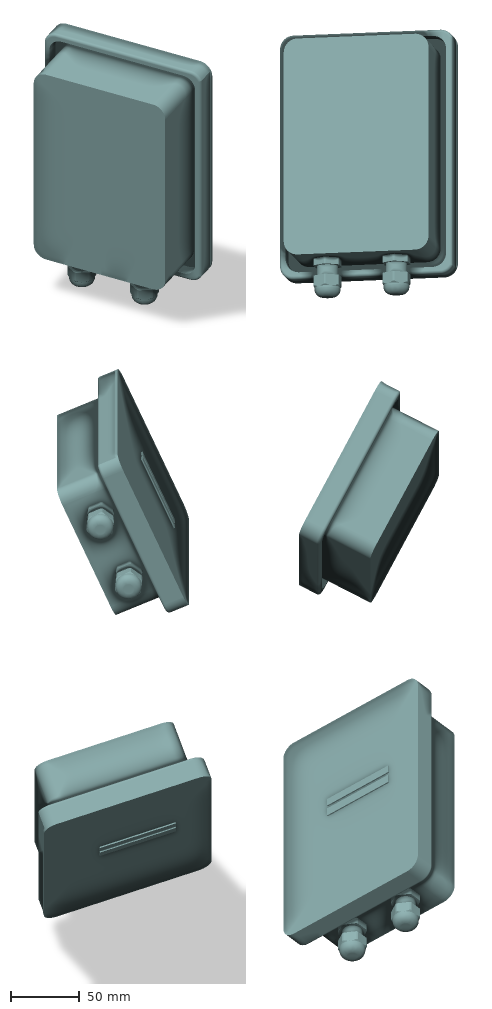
import cadquery as cq


lid_width = 127.8
lid_height = 180.8
lid_depth = 16.6
lid_corner_radius = 10.0
lid_rim_fillet = 2.0
side_lip = 1.0
side_lip_thickness = 2.0
pocket_width = 118.8
pocket_height = 171.4
pocket_depth = 9.3
pocket_corner_radius = 10.0
pocket_draft_angle = 2.0

strip_height = 1.0
strip_length = 58.5
strip_centre_x = -7.0
strip_widths_and_centres = ((6.2, 15.5), (6.8, 6.4))

housing_width = 107.2
housing_height = 160.2
housing_projection = 36.5
housing_corner_radius = 10.0

gland_spacing = 51.0
gland_y = -14.5
gland_neck_diameter = 15.2
hex_across_flats = 19.0
hex_corner_diameter = 21.2
flange_height = 5.1
neck_height = 7.6
nut_hex_height = 8.3
nut_collar_height = 1.3
nut_dome_height = 5.6

nut_chamfer = (hex_corner_diameter - hex_across_flats) / 2
housing_bottom = -housing_height / 2
neck_top = housing_bottom - flange_height
nut_top = neck_top - neck_height


def rounded_block(x_min, x_max, height, y_front, y_back, corner_radius):
    """Block centred on Z = 0 with its four Y-parallel edges rounded."""
    width = x_max - x_min
    return (
        cq.Workplane("XY")
        .box(width, y_back - y_front, height)
        .edges("|Y")
        .fillet(corner_radius)
        .translate(((x_min + x_max) / 2, (y_front + y_back) / 2, 0))
    )


def make_lid():
    """Shallow tray, open towards -Y, with a thin lip along the back of its +X side."""
    right_wall = lid_width / 2
    tray = rounded_block(
        -right_wall, right_wall + side_lip, lid_height, 0, lid_depth, lid_corner_radius
    )
    lip_relief = (
        cq.Workplane("XY")
        .box(side_lip, lid_depth - side_lip_thickness, lid_height, centered=(False, False, True))
        .translate((right_wall, 0, 0))
    )
    tray = tray.cut(lip_relief).faces("<Y").edges().fillet(lid_rim_fillet)

    pocket_opening = cq.Sketch().rect(pocket_width, pocket_height).vertices().fillet(pocket_corner_radius)
    pocket = (
        cq.Workplane("XZ")
        .placeSketch(pocket_opening)
        .extrude(-pocket_depth, taper=pocket_draft_angle)
    )
    tray = tray.cut(pocket)

    for strip_width, strip_centre_z in strip_widths_and_centres:
        strip = (
            cq.Workplane("XY")
            .box(strip_length, strip_height, strip_width, centered=(True, False, True))
            .translate((strip_centre_x, lid_depth, strip_centre_z))
        )
        tray = tray.union(strip)
    return tray


def make_housing():
    """Rounded box standing on the floor of the lid pocket."""
    half_width = housing_width / 2
    return rounded_block(
        -half_width, half_width, housing_height, -housing_projection, pocket_depth, housing_corner_radius
    )


def hex_prism(gland_x, z_top, height, end_chamfer=0):
    """Hexagon with two flats facing +X and -X, its corners turned down and chamfered at the lower end."""
    workplane = cq.Workplane("XY", origin=(gland_x, gland_y, z_top))
    hexagon = workplane.polygon(6, hex_across_flats, circumscribed=True).extrude(-height)
    turned_blank = workplane.circle(hex_corner_diameter / 2).extrude(-height)
    if end_chamfer:
        turned_blank = turned_blank.faces("<Z").edges().chamfer(end_chamfer)
    return hexagon.intersect(turned_blank)


def make_gland_body(gland_x):
    """Hexagonal flange against the housing with a round neck below it."""
    neck = (
        cq.Workplane("XY", origin=(gland_x, gland_y, neck_top))
        .circle(gland_neck_diameter / 2)
        .extrude(-neck_height)
    )
    return hex_prism(gland_x, housing_bottom, flange_height).union(neck)


def make_cap_nut(gland_x):
    """Hexagonal nut that ends in a round collar and a domed end."""
    collar_and_dome = (
        cq.Workplane("XY", origin=(gland_x, gland_y, nut_top - nut_hex_height))
        .circle(hex_across_flats / 2)
        .extrude(-nut_collar_height - nut_dome_height)
        .faces("<Z")
        .edges()
        .fillet(nut_dome_height)
    )
    return hex_prism(gland_x, nut_top, nut_hex_height, nut_chamfer).union(collar_and_dome)


lid = make_lid()
housing = make_housing()
gland_bodies = []
cap_nuts = []
for gland_x in (-gland_spacing / 2, gland_spacing / 2):
    gland_bodies.append(make_gland_body(gland_x).val())
    cap_nuts.append(make_cap_nut(gland_x).val())

result = cq.Compound.makeCompound([lid.val(), housing.val(), *gland_bodies, *cap_nuts])